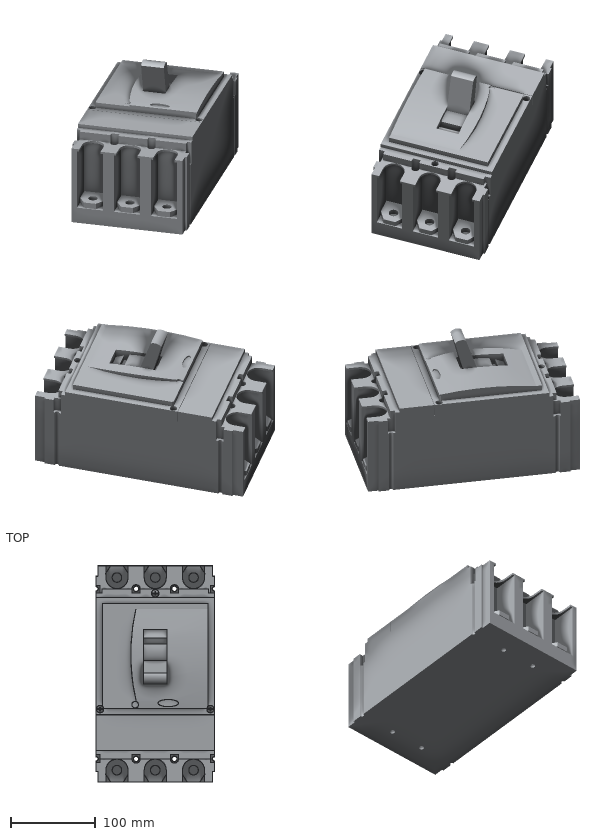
import cadquery as cq


case_length = 255.0
case_width = 139.7
end_width = 135.5
end_shoulder_y = 115.3
terminal_top_z = 95.5
ledge_top_z = 105.5
ledge_end_y = 100.2
cover_top_z = 110.5
cover_end_y = 90.0

seam_y = -48.2
seam_width = 0.5

pole_pitch = 45.1
bay_width = 31.5
bay_floor_z = 19.6
bay_back_y = 96.5
lid_thickness = 2.8
lid_opening_radius = 13.0
terminal_y = 113.5

pad_width = 30.0
pad_front_width = 14.8
pad_chamfer_length = 12.0
pad_bottom_z = 20.7
pad_top_z = 27.3
pad_hole_radius = 5.5

mount_y = ledge_end_y
mount_hole_radius = 3.0
mount_recess_radius = 4.8
mount_recess_floor_z = 77.8
side_groove_radius = 2.5
side_pocket_depth = 4.8
side_pocket_inner_y = 95.0
side_pocket_outer_y = 104.3
rear_notch_depth = 7.0

plate_width = 124.0
plate_rear_y = 83.0
plate_front_y = -40.5
plate_top_z = 117.0

dome_top_z = 122.1
dome_front_z = 118.8
dome_clear_z = dome_top_z + 2.5
dome_rear_y = 76.0
dome_crest_y = 11.7
dome_rear_x = -23.0
dome_bulge_x = -28.8
dome_bulge_y = 23.0
dome_front_x = -20.5

button_x = -23.7
button_y = -36.2
button_radius = 3.8
button_floor_z = 116.8
oval_x = 15.3
oval_y = -34.5
oval_length = 24.0
oval_width = 8.5
oval_floor_z = 117.8

handle_width = 27.8
window_rear_y = 52.0
window_front_y = -5.0
window_floor_z = 107.0
ramp_low_z = 109.5
ramp_high_z = 113.7
ramp_front_y = 42.0
drum_rear_y = 35.2
drum_crest_y = 23.0
drum_crest_z = 117.5
drum_edge_z = 116.3

handle_foot_rear_y = 19.5
handle_foot_front_y = 1.8
handle_tip_rear = (1.3, 160.1)
handle_tip_crest = (-3.8, 161.5)
handle_tip_front = (-11.7, 157.8)

screw_well_radius = 4.3
screw_well_depth = 7.6
screw_slot_width = 1.0
screw_slot_depth = 1.5
screw_cross_length = 4.3
rear_screw_y = 94.9
front_screw_x = 65.0
front_screw_y = -41.5


def block(x_range, y_range, z_range):
    """Axis-aligned box given by its limits along each axis."""
    spans = [high - low for low, high in (x_range, y_range, z_range)]
    corner = (x_range[0], y_range[0], z_range[0])
    return cq.Workplane("XY").box(*spans, centered=False).translate(corner)


def centred_block(width, y_range, z_range, x=0.0):
    """Box centred on the given X position."""
    return block((x - width / 2, x + width / 2), y_range, z_range)


def post(x, y, radius, bottom_z, top_z):
    """Vertical cylinder between two heights."""
    return cq.Workplane("XY", origin=(x, y, bottom_z)).circle(radius).extrude(top_z - bottom_z)


def both_ends(solid):
    """The solid together with its mirror image at the other end of the case."""
    return solid.union(solid.mirror("XZ"))


def both_sides(solid):
    """The solid together with its mirror image on the other side of the case."""
    return solid.union(solid.mirror("YZ"))


def make_case():
    half_length = case_length / 2
    case = centred_block(end_width, (-half_length, half_length), (0, terminal_top_z))
    case = case.union(centred_block(case_width, (-end_shoulder_y, end_shoulder_y), (0, terminal_top_z)))
    case = case.union(centred_block(case_width, (-ledge_end_y, ledge_end_y), (0, ledge_top_z)))
    case = case.union(centred_block(case_width, (-cover_end_y, cover_end_y), (0, cover_top_z)))
    seam_range = (seam_y - seam_width / 2, seam_y + seam_width / 2)
    return case.cut(centred_block(case_width, seam_range, (terminal_top_z, cover_top_z)))


def make_bay_cavity(x):
    """Space of one rear terminal bay: a box under a thin lid with a round-ended opening."""
    end_y = case_length / 2
    lid_bottom_z = terminal_top_z - lid_thickness
    chamber = centred_block(bay_width, (bay_back_y, end_y), (bay_floor_z, lid_bottom_z), x)
    lid_z_range = (lid_bottom_z, terminal_top_z)
    opening = centred_block(2 * lid_opening_radius, (terminal_y, end_y), lid_z_range, x)
    opening = opening.union(post(x, terminal_y, lid_opening_radius, *lid_z_range))
    return chamber.union(opening)


def make_terminal_pad(x):
    """Drilled terminal pad of one rear bay, with both outer corners cut off."""
    end_y = case_length / 2
    chamfer_y = end_y - pad_chamfer_length
    half_width = pad_width / 2
    half_front = pad_front_width / 2
    outline = [
        (-half_width, bay_back_y),
        (-half_width, chamfer_y),
        (-half_front, end_y),
        (half_front, end_y),
        (half_width, chamfer_y),
        (half_width, bay_back_y),
    ]
    pad = cq.Workplane("XY", origin=(x, 0, pad_bottom_z)).polyline(outline).close()
    pad = pad.extrude(pad_top_z - pad_bottom_z)
    return pad.cut(post(x, terminal_y, pad_hole_radius, pad_bottom_z, pad_top_z))


def make_mounting_cutter():
    """Rear mounting holes, their recesses, and the grooves and pockets on the sides."""
    hole_x = pole_pitch / 2
    side_x = case_width / 2
    recess_z_range = (mount_recess_floor_z, ledge_top_z)
    hole = post(hole_x, mount_y, mount_hole_radius, 0, ledge_top_z)
    recess = post(hole_x, mount_y, mount_recess_radius, *recess_z_range)
    recess = recess.union(
        centred_block(2 * mount_recess_radius, (side_pocket_inner_y, mount_y), recess_z_range, hole_x)
    )
    groove = post(side_x, mount_y, side_groove_radius, 0, ledge_top_z)
    pocket_y_range = (side_pocket_inner_y, side_pocket_outer_y)
    pocket = block((side_x - side_pocket_depth, side_x), pocket_y_range, recess_z_range)
    return both_sides(hole.union(recess).union(groove).union(pocket))


def make_rear_notch():
    side_x = case_width / 2
    y_range = (side_pocket_inner_y, ledge_end_y)
    notch = block((side_x - rear_notch_depth, side_x), y_range, (terminal_top_z, ledge_top_z))
    return both_sides(notch)


def make_dome():
    """Panel whose plan has a bowed left edge and whose top is an arc along Y."""
    right_x = plate_width / 2
    plan = (
        cq.Workplane("XY", origin=(0, 0, cover_top_z))
        .moveTo(right_x, dome_rear_y)
        .lineTo(dome_rear_x, dome_rear_y)
        .threePointArc((dome_bulge_x, dome_bulge_y), (dome_front_x, plate_front_y))
        .lineTo(right_x, plate_front_y)
        .close()
        .extrude(dome_clear_z - cover_top_z)
    )
    profile = (
        cq.Workplane("YZ")
        .moveTo(dome_rear_y, cover_top_z)
        .lineTo(dome_rear_y, plate_top_z)
        .threePointArc((dome_crest_y, dome_top_z), (plate_front_y, dome_front_z))
        .lineTo(plate_front_y, cover_top_z)
        .close()
        .extrude(right_x, both=True)
    )
    return plan.intersect(profile)


def make_panel_marks():
    button = post(button_x, button_y, button_radius, button_floor_z, dome_clear_z)
    oval = (
        cq.Workplane("XY", origin=(oval_x, oval_y, oval_floor_z))
        .ellipse(oval_length / 2, oval_width / 2)
        .extrude(dome_clear_z - oval_floor_z)
    )
    return button.union(oval)


def make_handle():
    """Ramp, drum and tapered lever, all as wide as the handle window."""
    ramp_outline = [
        (window_rear_y, window_floor_z),
        (window_rear_y, ramp_low_z),
        (ramp_front_y, ramp_high_z),
        (ramp_front_y, window_floor_z),
    ]
    ramp = cq.Workplane("YZ").polyline(ramp_outline).close()
    drum_front_y = 2 * drum_crest_y - drum_rear_y
    drum = (
        cq.Workplane("YZ")
        .moveTo(drum_rear_y, window_floor_z)
        .lineTo(drum_rear_y, drum_edge_z)
        .threePointArc((drum_crest_y, drum_crest_z), (drum_front_y, drum_edge_z))
        .lineTo(drum_front_y, window_floor_z)
        .close()
    )
    lever = (
        cq.Workplane("YZ")
        .moveTo(handle_foot_rear_y, window_floor_z)
        .lineTo(*handle_tip_rear)
        .threePointArc(handle_tip_crest, handle_tip_front)
        .lineTo(handle_foot_front_y, window_floor_z)
        .close()
    )
    half_width = handle_width / 2
    ramp, drum, lever = [outline.extrude(half_width, both=True) for outline in (ramp, drum, lever)]
    return ramp.union(drum).union(lever)


def make_screw_well(x, y, surface_z):
    """Round well, with the driver cross of the screw head sunk into its floor."""
    head_z = surface_z - screw_well_depth
    slot_z_range = (head_z - screw_slot_depth, head_z)
    half_slot = screw_slot_width / 2
    half_cross = screw_cross_length / 2
    well = post(x, y, screw_well_radius, head_z, plate_top_z)
    slot = centred_block(2 * screw_well_radius, (y - half_slot, y + half_slot), slot_z_range, x)
    slot = slot.intersect(post(x, y, screw_well_radius, *slot_z_range))
    cross = centred_block(screw_slot_width, (y - half_cross, y + half_cross), slot_z_range, x)
    return well.union(slot).union(cross)


result = make_case()
for pole in (-1, 0, 1):
    pole_x = pole * pole_pitch
    result = result.cut(both_ends(make_bay_cavity(pole_x)))
    result = result.union(both_ends(make_terminal_pad(pole_x)))
result = result.cut(both_ends(make_mounting_cutter()))
result = result.cut(make_rear_notch())

plate_y_range = (plate_front_y, plate_rear_y)
result = result.union(centred_block(plate_width, plate_y_range, (cover_top_z, plate_top_z)))
result = result.union(make_dome())
result = result.cut(make_panel_marks())

window_y_range = (window_front_y, window_rear_y)
result = result.cut(centred_block(handle_width, window_y_range, (window_floor_z, dome_clear_z)))
result = result.union(make_handle())

result = result.cut(make_screw_well(0, rear_screw_y, ledge_top_z))
result = result.cut(both_sides(make_screw_well(front_screw_x, front_screw_y, cover_top_z)))